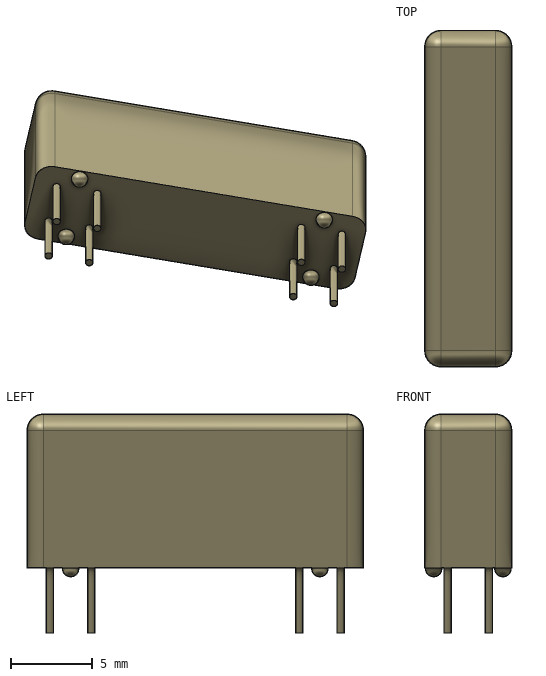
import cadquery as cq

case_width = 5.33
case_length = 20.57
total_height = 13.4
pin_length = 4.0
case_height = total_height - pin_length
case_rounding = 1.0

pin_diameter = 0.45
pin_pitch = 2.53
outer_pin_y = 8.89
inner_pin_y = outer_pin_y - pin_pitch
pin_x = pin_pitch / 2

standoff_diameter = 1.0
standoff_collar = 0.05
standoff_x = 2.12
standoff_y = (outer_pin_y + inner_pin_y) / 2


def mirrored_points(x, y):
    """Return the point and its mirror images in all four quadrants."""
    return [(side * x, end * y) for side in (-1, 1) for end in (-1, 1)]


def make_case():
    """Block standing on Z = 0 with rounded sides and top and a flat underside."""
    block = cq.Workplane("XY").box(
        case_width, case_length, case_height, centered=(True, True, False)
    )
    return block.edges("|Z or >Z").fillet(case_rounding)


def make_pins():
    """Round pins hanging from the underside of the case."""
    points = mirrored_points(pin_x, outer_pin_y) + mirrored_points(pin_x, inner_pin_y)
    return cq.Workplane("XY").pushPoints(points).circle(pin_diameter / 2).extrude(-pin_length)


def make_standoffs():
    """Short round collars under the case, each ending in a half-sphere."""
    radius = standoff_diameter / 2
    points = mirrored_points(standoff_x, standoff_y)
    collars = cq.Workplane("XY").pushPoints(points).circle(radius).extrude(-standoff_collar)
    dome = cq.Solid.makeSphere(radius, angleDegrees1=-90, angleDegrees2=0)
    domes = (
        cq.Workplane("XY", origin=(0, 0, -standoff_collar))
        .pushPoints(points)
        .eachpoint(dome, combine=False)
    )
    return collars.union(domes)


result = make_case().union(make_pins()).union(make_standoffs())